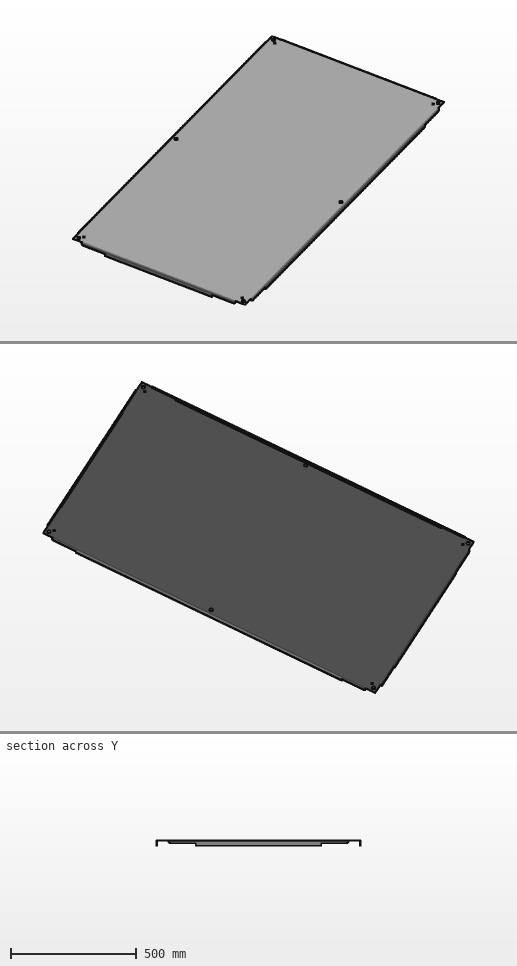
import cadquery as cq

WIDTH = 811.0
LENGTH = 1522.0
HEIGHT = 23.0

THICKNESS = 2.5
BEND_INNER_RADIUS = 2.1
BEND_OUTER_RADIUS = BEND_INNER_RADIUS + THICKNESS

FLANGE_END_GAP = 47.0
SHALLOW_DEPTH = 13.0
SHALLOW_CORNER_RADIUS = 9.0
END_TAB_LENGTH = 500.0
SIDE_TAB_LENGTH = 1212.0

MOUNTING_DIAMETER = 12.6
MOUNTING_INSET = 21.0
PILOT_DIAMETER = 7.2
PILOT_OFFSET = 15.0


def flat_plate():
    """Flat sheet whose bare corners end where the bends begin."""
    return (
        cq.Workplane("XY")
        .box(
            WIDTH - 2 * BEND_OUTER_RADIUS,
            LENGTH - 2 * BEND_OUTER_RADIUS,
            THICKNESS,
            centered=(True, True, False),
        )
        .translate((0, 0, -THICKNESS))
    )


def flange_outline(band_length, tab_length):
    """Stepped flange shape seen square on, standing in the XZ plane."""
    band = (
        cq.Workplane("XZ")
        .rect(band_length, 2 * SHALLOW_DEPTH)
        .extrude(BEND_OUTER_RADIUS)
        .edges("|Y and <Z")
        .fillet(SHALLOW_CORNER_RADIUS)
    )
    tab = cq.Workplane("XZ").rect(tab_length, 2 * HEIGHT).extrude(BEND_OUTER_RADIUS)
    return band.union(tab)


def flange(panel_length, band_length, tab_length):
    """Bend and flange on the -Y side of a panel of the given length along Y."""
    outer = -panel_length / 2
    bend_end = outer + BEND_OUTER_RADIUS
    profile = (
        cq.Workplane("YZ")
        .moveTo(bend_end, 0)
        .radiusArc((outer, -BEND_OUTER_RADIUS), -BEND_OUTER_RADIUS)
        .lineTo(outer, -HEIGHT)
        .lineTo(outer + THICKNESS, -HEIGHT)
        .lineTo(outer + THICKNESS, -BEND_OUTER_RADIUS)
        .radiusArc((bend_end, -THICKNESS), BEND_INNER_RADIUS)
        .close()
        .extrude(band_length / 2, both=True)
    )
    outline = flange_outline(band_length, tab_length).translate((0, bend_end, 0))
    return profile.intersect(outline)


def add_flanges(panel):
    """Fold a flange down on all four sides."""
    end_flange = flange(LENGTH, WIDTH - 2 * FLANGE_END_GAP, END_TAB_LENGTH)
    side_flange = flange(WIDTH, LENGTH - 2 * FLANGE_END_GAP, SIDE_TAB_LENGTH)
    turned_flanges = ((end_flange, 0), (side_flange, 90), (end_flange, 180), (side_flange, 270))
    for strip, angle in turned_flanges:
        panel = panel.union(strip.rotate((0, 0, 0), (0, 0, 1), angle))
    return panel


def drill(panel, points, diameter):
    """Cut round through holes at the given XY points."""
    pins = cq.Workplane("XY").pushPoints(points).circle(diameter / 2).extrude(-HEIGHT)
    return panel.cut(pins)


mounting_x = WIDTH / 2 - MOUNTING_INSET
mounting_y = LENGTH / 2 - MOUNTING_INSET
pilot_x = mounting_x - PILOT_OFFSET
pilot_y = mounting_y - PILOT_OFFSET
mounting_points = [(sx * mounting_x, sy * mounting_y) for sx in (-1, 1) for sy in (-1, 0, 1)]
pilot_points = [(sx * pilot_x, sy * pilot_y) for sx in (-1, 1) for sy in (-1, 1)]

panel = add_flanges(flat_plate())
panel = drill(panel, mounting_points, MOUNTING_DIAMETER)
panel = drill(panel, pilot_points, PILOT_DIAMETER)
result = panel.solids()